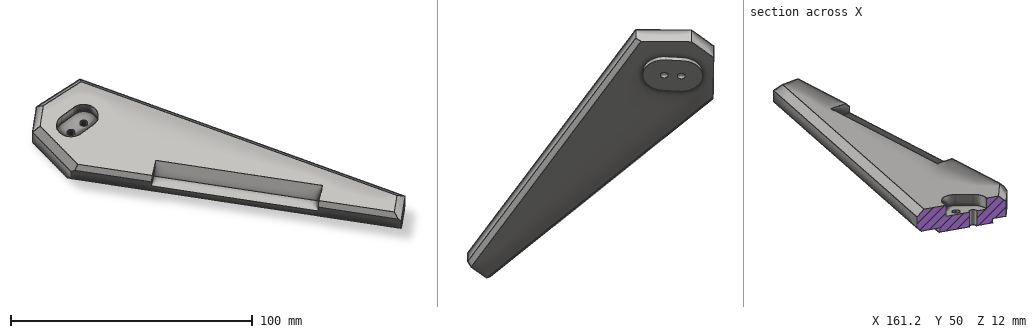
import cadquery as cq
import math

plate_thickness = 10.0
outline = [
    (0, 23.4),
    (4.4, 11.0),
    (27.5, 0),
    (161.2, 37.7),
    (157.0, 50),
    (9.8, 44.2),
]
HEAD_LEFT, HEAD_LOWER, FRONT, TIP, BACK, HEAD_UPPER = range(len(outline))

wide_bevel = 3.0
narrow_bevel = 2.0
top_bevels = {
    HEAD_LEFT: wide_bevel,
    HEAD_LOWER: wide_bevel,
    FRONT: narrow_bevel,
    TIP: wide_bevel,
    BACK: wide_bevel,
    HEAD_UPPER: wide_bevel,
}
bottom_bevels = {FRONT: narrow_bevel, BACK: narrow_bevel}

pocket_start = 33.8
pocket_length = 70.1
pocket_depth = 4.7
pocket_floor_width = 5.2

mount_center = (19.3, 22.5)
mount_angle = 68.5
hole_spacing = 7.1
hole_diameter = 3.2
recess_width = 12.0
recess_depth = 5.0
boss_wall = 2.9
boss_width = recess_width + 2 * boss_wall
boss_height = 2.0

cut_margin = 1.6


def edge_frame(edge):
    """Return the length of an outline edge and a plane at its start.

    Local x points into the plate, local y up, and the normal along the edge.
    """
    x0, y0 = outline[edge]
    x1, y1 = outline[(edge + 1) % len(outline)]
    dx, dy = x1 - x0, y1 - y0
    plane = cq.Plane(origin=(x0, y0, 0), xDir=(-dy, dx, 0), normal=(dx, dy, 0))
    return math.hypot(dx, dy), plane


def edge_cutter(edge, profile, start, length):
    """Sweep a cross-section profile along an outline edge."""
    _, plane = edge_frame(edge)
    return cq.Workplane(plane).workplane(offset=start).polyline(profile).close().extrude(length)


def bevel_cutter(edge, size, face_z, inward):
    """Make a triangular cutter for one bevel; inward is the Z direction into the plate."""
    length, _ = edge_frame(edge)
    reach = size + cut_margin
    profile = [
        (-cut_margin, face_z + inward * reach),
        (reach, face_z - inward * cut_margin),
        (-cut_margin, face_z - inward * cut_margin),
    ]
    return edge_cutter(edge, profile, -cut_margin, length + 2 * cut_margin)


def mount_slot(width, bottom_z, height):
    """Make an upright block with rounded ends, centered on the mount."""
    return (
        cq.Workplane("XY", origin=(*mount_center, bottom_z))
        .slot2D(hole_spacing + width, width, mount_angle)
        .extrude(height)
    )


plate = cq.Workplane("XY").polyline(outline).close().extrude(plate_thickness)
for edge, size in top_bevels.items():
    plate = plate.cut(bevel_cutter(edge, size, plate_thickness, -1))
for edge, size in bottom_bevels.items():
    plate = plate.cut(bevel_cutter(edge, size, 0, 1))

pocket_floor_z = plate_thickness - pocket_depth
pocket_profile = [
    (-cut_margin, pocket_floor_z),
    (pocket_floor_width, pocket_floor_z),
    (pocket_floor_width + pocket_depth + cut_margin, plate_thickness + cut_margin),
    (-cut_margin, plate_thickness + cut_margin),
]
plate = plate.cut(edge_cutter(FRONT, pocket_profile, pocket_start, pocket_length))

body = plate.union(mount_slot(boss_width, -boss_height, boss_height))
body = body.cut(mount_slot(recess_width, plate_thickness - recess_depth, recess_depth))
holes = (
    cq.Workplane("XY", origin=(*mount_center, -boss_height))
    .polarArray(hole_spacing / 2, mount_angle, 360, 2)
    .circle(hole_diameter / 2)
    .extrude(boss_height + plate_thickness)
)
result = body.cut(holes)